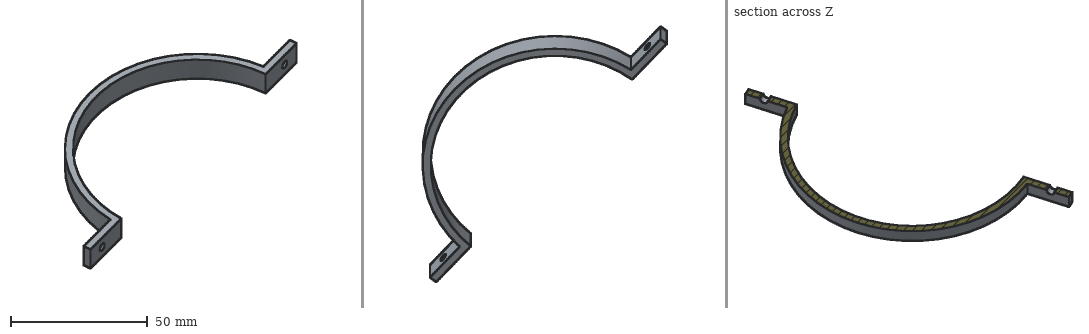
import cadquery as cq

length = 130.0
width = 10.0
thickness = 3.0
outer_radius = 48.5
mating_gap = 1.7
hole_diameter = 3.0
hole_spacing = 115.0

inner_radius = outer_radius - thickness
flange_face_x = -mating_gap
flange_back_x = flange_face_x - thickness


def ring():
    """Ring about the Z axis, cut off at the flange mating face."""
    full_ring = cq.Workplane("XY").circle(outer_radius).circle(inner_radius).extrude(width)
    keep = (
        cq.Workplane("XY")
        .box(outer_radius, length, width, centered=(False, True, False))
        .translate((flange_face_x - outer_radius, 0, 0))
    )
    return full_ring.intersect(keep)


def flange(side):
    """Flat drilled ear running outward from the ring; side is +1 or -1 along Y."""
    middle_radius = (inner_radius + outer_radius) / 2
    start = (middle_radius**2 - flange_back_x**2) ** 0.5
    end = length / 2
    ear = (
        cq.Workplane("XY")
        .box(thickness, end - start, width, centered=(False, True, False))
        .translate((flange_back_x, side * (start + end) / 2, 0))
    )
    hole = (
        cq.Workplane("YZ", origin=(flange_back_x, 0, 0))
        .center(side * hole_spacing / 2, width / 2)
        .circle(hole_diameter / 2)
        .extrude(thickness)
    )
    return ear.cut(hole)


result = ring()
for side in (-1, 1):
    result = result.union(flange(side))